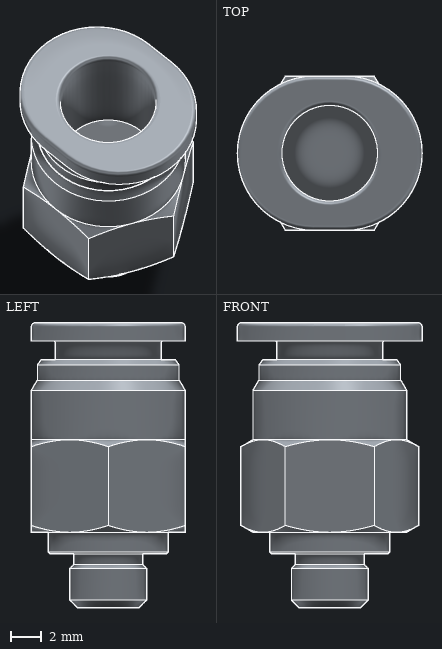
import cadquery as cq
import math

stub_top = 2.8
collar_bottom = 3.5
hex_bottom = 4.9
hex_top = 10.9
body_top = 14.75
sleeve_top = 16.1
flange_bottom = 17.3
total_height = 18.5

stub_radius = 5.0 / 2
stub_tip_chamfer = 0.5
undercut_radius = 4.5 / 2
stub_top_chamfer = stub_radius - undercut_radius

collar_radius = 7.8 / 2
collar_chamfer = 0.12

hex_across_flats = 10.0
hex_corner_radius = hex_across_flats / 2 / math.cos(math.radians(30))
hex_chamfer_angle = 30.0

body_radius = hex_across_flats / 2
sleeve_radius = 9.2 / 2
sleeve_chamfer_width = 0.25
sleeve_chamfer_height = 0.35
neck_radius = 6.9 / 2
neck_fillet = 0.1

shoulder_angle = 30.0
shoulder_height = 0.65
shoulder_width = shoulder_height * math.tan(math.radians(shoulder_angle))

flange_length = 12.0
flange_width = 10.0
edge_round = 0.3

socket_diameter = 6.2
socket_depth = total_height - hex_top


def cylinder(radius, bottom, top):
    return cq.Workplane("XY").workplane(offset=bottom).circle(radius).extrude(top - bottom)


def make_stub():
    thread = cylinder(stub_radius, 0, stub_top)
    thread = thread.faces("<Z").chamfer(stub_tip_chamfer)
    thread = thread.faces(">Z").chamfer(stub_top_chamfer)
    return thread.union(cylinder(undercut_radius, stub_top, collar_bottom))


def make_collar():
    return cylinder(collar_radius, collar_bottom, hex_bottom).faces("<Z").chamfer(collar_chamfer)


def make_hexagon():
    """Hexagonal prism with its corners cut back by a cone at both ends."""
    prism = (
        cq.Workplane("XY")
        .workplane(offset=hex_bottom)
        .polygon(6, 2 * hex_corner_radius)
        .extrude(hex_top - hex_bottom)
    )
    flat_radius = hex_across_flats / 2
    corner_drop = (hex_corner_radius - flat_radius) * math.tan(math.radians(hex_chamfer_angle))
    envelope = (
        cq.Workplane("XZ")
        .moveTo(0, hex_bottom)
        .lineTo(flat_radius, hex_bottom)
        .lineTo(hex_corner_radius, hex_bottom + corner_drop)
        .lineTo(hex_corner_radius, hex_top - corner_drop)
        .lineTo(flat_radius, hex_top)
        .lineTo(0, hex_top)
        .close()
        .revolve(360, (0, 0, 0), (0, 1, 0))
    )
    return prism.intersect(envelope)


def make_body():
    body = cylinder(body_radius, hex_top, body_top)
    return body.faces(">Z").edges().chamfer(shoulder_height, shoulder_width)


def make_sleeve():
    sleeve = cylinder(sleeve_radius, body_top, sleeve_top)
    return sleeve.faces(">Z").edges().chamfer(sleeve_chamfer_height, sleeve_chamfer_width)


def make_release_ring():
    flange = (
        cq.Workplane("XY")
        .workplane(offset=flange_bottom)
        .slot2D(flange_length, flange_width)
        .extrude(total_height - flange_bottom)
        .faces(">Z")
        .edges()
        .fillet(edge_round)
    )
    ring = flange.union(cylinder(neck_radius, sleeve_top, flange_bottom))
    flange_underside = cq.selectors.NearestToPointSelector((flange_length / 2, 0, flange_bottom))
    neck_edge = cq.selectors.RadiusNthSelector(0)
    return ring.faces("|Z").faces(flange_underside).edges("%CIRCLE").edges(neck_edge).fillet(neck_fillet)


def cut_socket(part):
    """Bore the tube socket and round its mouth."""
    bored = part.faces(">Z").workplane(origin=(0, 0, total_height)).hole(socket_diameter, socket_depth)
    mouth = cq.selectors.RadiusNthSelector(0)
    return bored.faces(">Z").edges("%CIRCLE").edges(mouth).fillet(edge_round)


outer = (
    make_stub()
    .union(make_collar())
    .union(make_hexagon())
    .union(make_body())
    .union(make_sleeve())
    .union(make_release_ring())
)
result = cut_socket(outer)